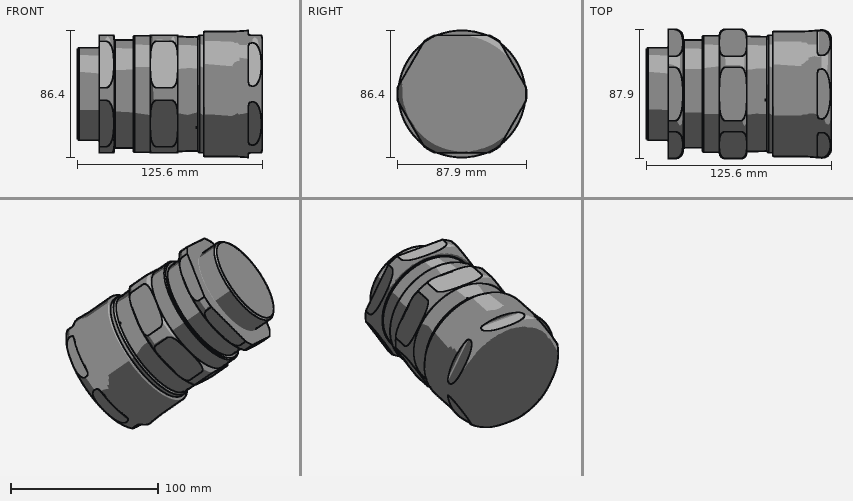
import cadquery as cq
import math


HEX_SIDES = 6
HEX_ACROSS_FLATS = 80.0
HEX_CORNER_DIA = 87.9

SPIGOT_DIA = 63.0
SPIGOT_CHAMFER = 1.3
SPIGOT_ROOT_RADIUS = 0.4
ENTRY_HEX_START = 14.8
ENTRY_HEX_END = 25.0
ENTRY_HEX_ROUND = 5.8
NECK_DIA = 73.3
NECK_SHOULDER_DIA = 74.1
NECK_SHOULDER_LENGTH = 0.9

SKIRT_DIA = 79.2
SKIRT_START = 37.9
SKIRT_CHAMFER = 0.9
MIDDLE_HEX_START = 49.6
MIDDLE_HEX_END = 68.1
MIDDLE_HEX_ROUND = 4.1
TAIL_START_DIA = 78.5
TAIL_END_DIA = 77.7
STEM_DIA = NECK_DIA

MARKER_COUNT = 3
MARKER_DIA = 0.9
MARKER_DEPTH = 1.3
MARKER_EDGE_GAP = 0.6
MARKER_FIRST_ANGLE = 6.0

RING_DIA = 80.0
RING_START = 81.6
RING_CHAMFER_LENGTH = 1.4
RING_CHAMFER_DEPTH = (RING_DIA - TAIL_END_DIA) / 2

NUT_DIA = 85.0
NUT_START = 85.7
NUT_END = 125.6
NUT_FRONT_ROUND = 1.1
FLARE_START = 105.1
NUT_SOCKET_END = FLARE_START
FLARE_ARC_LENGTH = 5.0
FLARE_ANGLE = 4.8
FLATS_START = 116.0
FLATS_CORNER_RADIUS = 1.1
NUT_END_ROUND_START = 118.9



def revolve(section):
    """Close a half section and turn it about the X axis."""
    return section.close().revolve(360, (0, 0, 0), (1, 0, 0))


def cylinder(start, end, diameter):
    return cq.Workplane("YZ", origin=(start, 0, 0)).circle(diameter / 2).extrude(end - start)


def hexagon(start, end, start_round, end_round):
    """Hexagon with corners turned to a diameter and its ends rounded; zero leaves an end sharp."""
    blank = cylinder(start, end, HEX_CORNER_DIA)
    if start_round:
        blank = blank.faces("<X").edges().fillet(start_round)
    if end_round:
        blank = blank.faces(">X").edges().fillet(end_round)
    circumscribed_dia = HEX_ACROSS_FLATS / math.cos(math.pi / HEX_SIDES)
    prism = (
        cq.Workplane("YZ", origin=(start, 0, 0))
        .polygon(HEX_SIDES, circumscribed_dia)
        .extrude(end - start)
    )
    return blank.intersect(prism)


def make_entry():
    spigot_radius = SPIGOT_DIA / 2
    root_start = ENTRY_HEX_START - SPIGOT_ROOT_RADIUS
    root_centre_radius = spigot_radius + SPIGOT_ROOT_RADIUS
    root_mid = SPIGOT_ROOT_RADIUS * math.sqrt(0.5)
    shaft = revolve(
        cq.Workplane("XY")
        .lineTo(0, spigot_radius - SPIGOT_CHAMFER)
        .lineTo(SPIGOT_CHAMFER, spigot_radius)
        .lineTo(root_start, spigot_radius)
        .threePointArc(
            (root_start + root_mid, root_centre_radius - root_mid),
            (ENTRY_HEX_START, root_centre_radius),
        )
        .lineTo(ENTRY_HEX_END, NECK_SHOULDER_DIA / 2)
        .lineTo(ENTRY_HEX_END + NECK_SHOULDER_LENGTH, NECK_DIA / 2)
        .lineTo(MIDDLE_HEX_START, NECK_DIA / 2)
        .lineTo(MIDDLE_HEX_START, 0)
    )
    return shaft.union(hexagon(ENTRY_HEX_START, ENTRY_HEX_END, 0, ENTRY_HEX_ROUND))


def cut_marker_holes(tail):
    """Small blind radial holes spread evenly around the end of the tail."""
    hole = (
        cq.Workplane("XY", origin=(RING_START - MARKER_EDGE_GAP, 0, TAIL_END_DIA / 2 - MARKER_DEPTH))
        .circle(MARKER_DIA / 2)
        .extrude(2 * MARKER_DEPTH)
    )
    for index in range(MARKER_COUNT):
        angle = MARKER_FIRST_ANGLE + index * 360 / MARKER_COUNT
        tail = tail.cut(hole.rotate((0, 0, 0), (1, 0, 0), angle))
    return tail


def make_middle_body():
    skirt = cylinder(SKIRT_START, MIDDLE_HEX_START, SKIRT_DIA).faces("<X").chamfer(SKIRT_CHAMFER)
    neck_socket = cylinder(SKIRT_START, MIDDLE_HEX_START, NECK_DIA)
    hex_grip = hexagon(MIDDLE_HEX_START, MIDDLE_HEX_END, MIDDLE_HEX_ROUND, MIDDLE_HEX_ROUND)
    tail = revolve(
        cq.Workplane("XY")
        .moveTo(MIDDLE_HEX_END, 0)
        .lineTo(MIDDLE_HEX_END, TAIL_START_DIA / 2)
        .lineTo(RING_START, TAIL_END_DIA / 2)
        .lineTo(RING_START, 0)
    )
    stem = cylinder(RING_START, NUT_SOCKET_END, STEM_DIA)
    return skirt.cut(neck_socket).union(hex_grip).union(cut_marker_holes(tail)).union(stem)


def make_ring():
    return (
        cylinder(RING_START, NUT_START, RING_DIA)
        .faces("<X")
        .chamfer(RING_CHAMFER_LENGTH, RING_CHAMFER_DEPTH)
        .cut(cylinder(RING_START, NUT_START, STEM_DIA))
    )


def make_flats_cutter():
    """Six blocks that leave the nut's hexagon flats, each with a rounded inner corner."""
    length = NUT_END - FLATS_START
    block = (
        cq.Workplane("XY", origin=(FLATS_START, 0, HEX_ACROSS_FLATS / 2))
        .box(length, HEX_CORNER_DIA, HEX_CORNER_DIA / 2, centered=(False, True, False))
        .edges("<X and <Z")
        .fillet(FLATS_CORNER_RADIUS)
    )
    cutter = block
    for index in range(1, HEX_SIDES):
        cutter = cutter.union(block.rotate((0, 0, 0), (1, 0, 0), index * 360 / HEX_SIDES))
    return cutter


def make_nut():
    barrel_radius = NUT_DIA / 2
    taper = math.radians(FLARE_ANGLE)
    flare_arc_radius = FLARE_ARC_LENGTH / math.sin(taper)

    def flare_arc_point(angle):
        x = FLARE_START + flare_arc_radius * math.sin(angle)
        return x, barrel_radius + flare_arc_radius * (1 - math.cos(angle))

    arc_end = flare_arc_point(taper)
    rim_radius = arc_end[1] + (NUT_END_ROUND_START - arc_end[0]) * math.tan(taper)
    end_round = NUT_END - NUT_END_ROUND_START
    round_mid = end_round * math.sqrt(0.5)
    round_centre_radius = rim_radius - end_round
    front_mid = NUT_FRONT_ROUND * (1 - math.sqrt(0.5))
    blank = revolve(
        cq.Workplane("XY")
        .moveTo(NUT_START, 0)
        .lineTo(NUT_START, barrel_radius - NUT_FRONT_ROUND)
        .threePointArc(
            (NUT_START + front_mid, barrel_radius - front_mid),
            (NUT_START + NUT_FRONT_ROUND, barrel_radius),
        )
        .lineTo(FLARE_START, barrel_radius)
        .threePointArc(flare_arc_point(taper / 2), arc_end)
        .lineTo(NUT_END_ROUND_START, rim_radius)
        .threePointArc(
            (NUT_END_ROUND_START + round_mid, round_centre_radius + round_mid),
            (NUT_END, round_centre_radius),
        )
        .lineTo(NUT_END, 0)
    )
    socket = cylinder(NUT_START, NUT_SOCKET_END, STEM_DIA)
    return blank.cut(make_flats_cutter()).cut(socket)


entry = make_entry()
middle_body = make_middle_body()
ring = make_ring()
nut = make_nut()

result = cq.Compound.makeCompound([entry.val(), middle_body.val(), ring.val(), nut.val()])